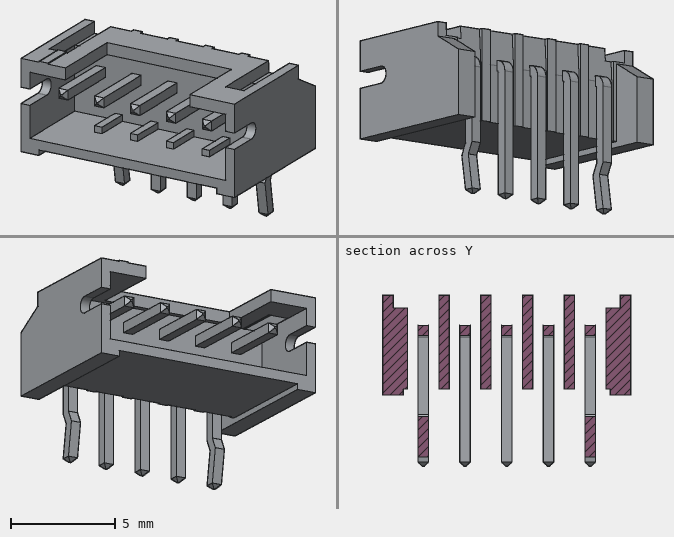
import cadquery as cq


WIDTH = 11.9
HEIGHT = 4.8
HOUSING_DEPTH = 6.02
EAR_DEPTH = 7.6
EAR_WIDTH = 1.0
EAR_TOP_FRONT = 4.08
EAR_TOP_BACK = 3.2
FOOT_HEIGHT = 0.29

SIDE_WALL = 0.5
FLOOR_TOP = 0.79
CAVITY_TOP = 4.18
CAVITY_DEPTH = 4.2

WINDOW_WIDTH = 6.93
WINDOW_DEPTH = 3.9
TOP_SLOT_WIDTH = 1.02
TOP_SLOT_OUTER = WIDTH / 2 - 0.52
TOP_SLOT_FRONT = 1.77

SIDE_SLOT_HEIGHT = 0.83
SIDE_SLOT_DEPTH = 2.0
SIDE_SLOT_Z = 2.89

BACK_PANEL_WIDTH = 9.5
BACK_RECESS_TOP = 0.21
BACK_RECESS_BOTTOM = 0.11
BACK_TAPER_END = 3.1
BACK_RIB_WIDTH = 0.5

MARK_WIDTH = 0.5
MARK_HEIGHT = 0.05
MARK_LEFT = -WIDTH / 2 + EAR_WIDTH

FLOOR_RIB_WIDTH = 0.4
FLOOR_RIB_HEIGHT = 0.33
FLOOR_RIB_FRONT = 2.28

PIN_COUNT = 5
PITCH = 2.0
PIN_SIZE = 0.51
PIN_Z = 3.1
PIN_FRONT = 0.5
LEG_BACK = 6.51
LEG_BOTTOM = -3.4
TIP_LENGTH = 0.2
TIP_FLAT = 0.1
KINK_START_Z = -0.93
KINK_PEAK_Z = -1.5
KINK_OFFSET = 0.29
BEND_START = HOUSING_DEPTH - BACK_RECESS_BOTTOM

pin_positions = [(i - (PIN_COUNT - 1) / 2) * PITCH for i in range(PIN_COUNT)]
rib_positions = [x + PITCH / 2 for x in pin_positions[:-1]]


def block(x_range, y_range, z_range):
    """Box spanning the given (low, high) ranges."""
    lows, highs = zip(x_range, y_range, z_range)
    sizes = [high - low for low, high in zip(lows, highs)]
    return cq.Workplane("XY").box(*sizes, centered=False).translate(lows)


def centred_block(x_middle, width, y_range, z_range):
    """Box of the given width placed symmetrically about x_middle."""
    return block((x_middle - width / 2, x_middle + width / 2), y_range, z_range)


def side_extrusion(yz_points, x_middle, width):
    """Extrude a closed Y-Z outline symmetrically about x_middle."""
    profile = cq.Workplane("YZ", origin=(x_middle, 0, 0)).polyline(yz_points).close()
    return profile.extrude(width / 2, both=True)


def make_shell():
    """Outer housing with its feet, rear ears and tapered back panels."""
    shell = centred_block(0, WIDTH, (0, HOUSING_DEPTH), (FOOT_HEIGHT, HEIGHT))
    ear_outline = [
        (0, 0),
        (EAR_DEPTH, 0),
        (EAR_DEPTH, EAR_TOP_BACK),
        (HOUSING_DEPTH, EAR_TOP_FRONT),
        (HOUSING_DEPTH, HEIGHT),
        (0, HEIGHT),
    ]
    for side in (-1, 1):
        shell = shell.union(side_extrusion(ear_outline, side * (WIDTH - EAR_WIDTH) / 2, EAR_WIDTH))

    recess_outline = [
        (HOUSING_DEPTH, FOOT_HEIGHT),
        (HOUSING_DEPTH - BACK_RECESS_BOTTOM, FOOT_HEIGHT),
        (HOUSING_DEPTH - BACK_RECESS_BOTTOM, BACK_TAPER_END),
        (HOUSING_DEPTH - BACK_RECESS_TOP, HEIGHT),
        (HOUSING_DEPTH, HEIGHT),
    ]
    recess = side_extrusion(recess_outline, 0, BACK_PANEL_WIDTH)
    for x in rib_positions:
        rib_depth = (HOUSING_DEPTH - BACK_RECESS_TOP, HOUSING_DEPTH)
        recess = recess.cut(centred_block(x, BACK_RIB_WIDTH, rib_depth, (FOOT_HEIGHT, HEIGHT)))
    return shell.cut(recess)


def make_openings():
    """Mating cavity, top window and top slots."""
    openings = centred_block(0, WIDTH - 2 * SIDE_WALL, (0, CAVITY_DEPTH), (FLOOR_TOP, CAVITY_TOP))
    openings = openings.union(
        centred_block(0, WINDOW_WIDTH, (0, WINDOW_DEPTH), (CAVITY_TOP, HEIGHT))
    )
    for side in (-1, 1):
        slot_middle = side * (TOP_SLOT_OUTER - TOP_SLOT_WIDTH / 2)
        slot_depth = (TOP_SLOT_FRONT, HOUSING_DEPTH)
        openings = openings.union(
            centred_block(slot_middle, TOP_SLOT_WIDTH, slot_depth, (CAVITY_TOP, HEIGHT))
        )
    return openings


def make_side_slot():
    """Round-ended slot running through both side walls."""
    radius = SIDE_SLOT_HEIGHT / 2
    low = SIDE_SLOT_Z - radius
    high = SIDE_SLOT_Z + radius
    arc_start = SIDE_SLOT_DEPTH - radius
    return (
        cq.Workplane("YZ")
        .moveTo(0, low)
        .lineTo(arc_start, low)
        .threePointArc((SIDE_SLOT_DEPTH, SIDE_SLOT_Z), (arc_start, high))
        .lineTo(0, high)
        .close()
        .extrude(WIDTH / 2, both=True)
    )


def make_tip(plane):
    """Blunt pyramid that ends a pin, growing along the normal of the plane."""
    return (
        plane.rect(PIN_SIZE, PIN_SIZE)
        .workplane(offset=TIP_LENGTH)
        .rect(TIP_FLAT, TIP_FLAT)
        .loft(combine=True)
    )


def make_pin(x, kinked):
    """Pin with a rounded right-angle bend; a kinked leg grips the board."""
    top = PIN_Z + PIN_SIZE / 2
    underside = PIN_Z - PIN_SIZE / 2
    front = PIN_FRONT + TIP_LENGTH
    leg_front = LEG_BACK - PIN_SIZE
    leg_end = LEG_BOTTOM + TIP_LENGTH
    outer_radius = LEG_BACK - BEND_START
    inner_radius = leg_front - BEND_START
    bend_centre_z = top - outer_radius

    def bend_middle(radius):
        reach = radius / 2**0.5
        return (BEND_START + reach, bend_centre_z + reach)

    stations = [(leg_end, 0)]
    if kinked:
        stations = [
            (KINK_START_Z, 0),
            (KINK_PEAK_Z, KINK_OFFSET),
            (leg_end, 0),
        ]

    profile = cq.Workplane("YZ", origin=(x, 0, 0)).moveTo(front, top).lineTo(BEND_START, top)
    profile = profile.threePointArc(bend_middle(outer_radius), (LEG_BACK, bend_centre_z))
    for z, shift in stations:
        profile = profile.lineTo(LEG_BACK - shift, z)
    for z, shift in reversed(stations):
        profile = profile.lineTo(leg_front - shift, z)
    profile = profile.lineTo(leg_front, bend_centre_z)
    profile = profile.threePointArc(bend_middle(inner_radius), (BEND_START, underside))
    pin = profile.lineTo(front, underside).close().extrude(PIN_SIZE / 2, both=True)

    mating_tip = make_tip(cq.Workplane("XZ", origin=(x, front, PIN_Z)))
    leg_middle = LEG_BACK - PIN_SIZE / 2
    board_plane = cq.Workplane("XY", origin=(x, leg_middle, leg_end)).transformed(rotate=(180, 0, 0))
    board_tip = make_tip(board_plane)
    return pin.union(mating_tip).union(board_tip)


result = make_shell().cut(make_openings()).cut(make_side_slot())

mark_x = (MARK_LEFT, MARK_LEFT + MARK_WIDTH)
result = result.union(block(mark_x, (0, TOP_SLOT_FRONT), (CAVITY_TOP, HEIGHT + MARK_HEIGHT)))

for rib_x in rib_positions:
    rib_y = (FLOOR_RIB_FRONT, CAVITY_DEPTH)
    rib_z = (FLOOR_TOP, FLOOR_TOP + FLOOR_RIB_HEIGHT)
    result = result.union(centred_block(rib_x, FLOOR_RIB_WIDTH, rib_y, rib_z))

for pin_x in pin_positions:
    is_end_pin = pin_x in (pin_positions[0], pin_positions[-1])
    result = result.union(make_pin(pin_x, is_end_pin))